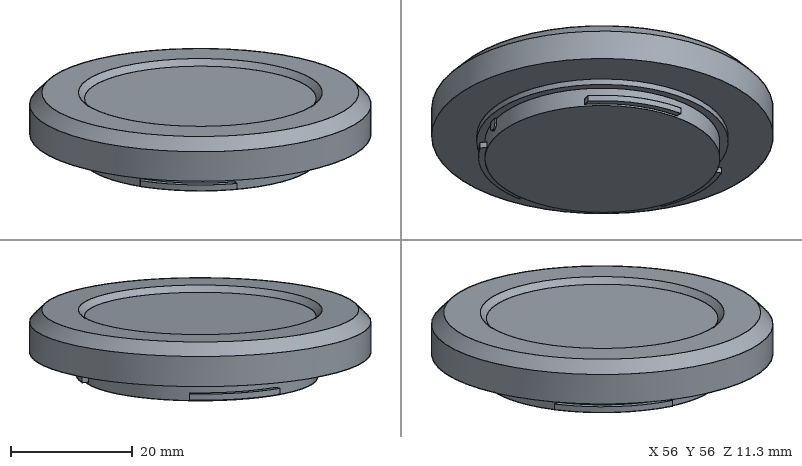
import cadquery as cq
import math

total_height = 11.25
flange_diameter = 56.0
flange_thickness = 7.05
flange_chamfer = 2.0
shoulder_diameter = 41.2
shoulder_thickness = 1.0
plug_diameter = 38.5

recess_diameter = 40.0
recess_depth = 1.0

lug_diameter = 40.65
lug_bottom = 0.35
lug_thickness = 1.0
lug_root_depth = 0.2
lugs = [
    (55.0, 100.0, 0.0, 0.0),
    (171.0, 228.0, 0.0, 1.5),
    (302.0, 348.0, 2.5, 0.0),
]

pin_angle = 241.7
pin_width = 1.8
pin_bottom = 1.4
pin_face_radius = 19.55
pin_root_depth = 1.1

flange_bottom = total_height - flange_thickness
shoulder_bottom = flange_bottom - shoulder_thickness
pin_root_radius = plug_diameter / 2 - pin_root_depth


def disc(diameter, bottom, thickness):
    return cq.Workplane("XY").workplane(offset=bottom).circle(diameter / 2).extrude(thickness)


def polar_point(radius, angle):
    return (radius * math.cos(math.radians(angle)), radius * math.sin(math.radians(angle)))


def bayonet_lug(start, end, start_flare, end_flare):
    """Ring segment rooted inside the plug, with radial or flared end faces."""
    middle = (start + end) / 2
    root_radius = plug_diameter / 2 - lug_root_depth
    outer_radius = lug_diameter / 2
    return (
        cq.Workplane("XY")
        .workplane(offset=lug_bottom)
        .moveTo(*polar_point(root_radius, start - start_flare))
        .lineTo(*polar_point(outer_radius, start))
        .threePointArc(polar_point(outer_radius, middle), polar_point(outer_radius, end))
        .lineTo(*polar_point(root_radius, end + end_flare))
        .threePointArc(polar_point(root_radius, middle), polar_point(root_radius, start - start_flare))
        .close()
        .extrude(lug_thickness)
    )


def stop_pin():
    """Flat-faced radial pin with a round lower end and straight sides up to the shoulder."""
    half_width = pin_width / 2
    round_center = pin_bottom + half_width
    return (
        cq.Workplane("YZ")
        .workplane(offset=pin_root_radius)
        .moveTo(-half_width, shoulder_bottom)
        .lineTo(-half_width, round_center)
        .threePointArc((0, pin_bottom), (half_width, round_center))
        .lineTo(half_width, shoulder_bottom)
        .close()
        .extrude(pin_face_radius - pin_root_radius)
        .rotate((0, 0, 0), (0, 0, 1), pin_angle)
    )


def top_recess():
    """Cone frustum that narrows downward at 45 degrees."""
    return (
        cq.Workplane("XY")
        .workplane(offset=total_height)
        .circle(recess_diameter / 2)
        .workplane(offset=-recess_depth)
        .circle(recess_diameter / 2 - recess_depth)
        .loft(ruled=True)
    )


flange = disc(flange_diameter, flange_bottom, flange_thickness).faces(">Z").chamfer(flange_chamfer)
shoulder = disc(shoulder_diameter, shoulder_bottom, shoulder_thickness)
plug = disc(plug_diameter, 0, shoulder_bottom)

result = flange.cut(top_recess()).union(shoulder).union(plug)
for lug_angles in lugs:
    result = result.union(bayonet_lug(*lug_angles))
result = result.union(stop_pin())